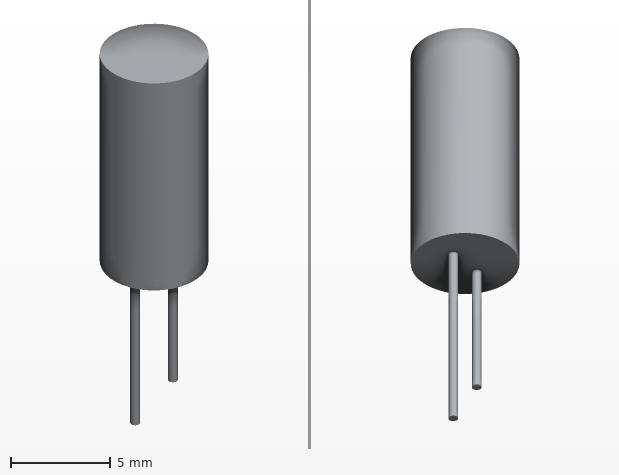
import cadquery as cq

TOTAL_HEIGHT = 22.5
CAN_DIAMETER = 5.5
CAN_HEIGHT = 12.5
LEAD_DIAMETER = 0.5
LEAD_SPACING = 2.0
SHORT_LEAD_LENGTH = 7.0

LONG_LEAD_LENGTH = TOTAL_HEIGHT - CAN_HEIGHT


def make_can():
    """Cylindrical can standing on the plane Z = 0."""
    return cq.Workplane("XY").circle(CAN_DIAMETER / 2).extrude(CAN_HEIGHT)


def make_lead(x, length):
    """Round lead hanging down from the flat bottom of the can."""
    return cq.Workplane("XY").center(x, 0).circle(LEAD_DIAMETER / 2).extrude(-length)


can = make_can()

lead_layout = [(-1, LONG_LEAD_LENGTH), (1, SHORT_LEAD_LENGTH)]
leads = []
for side, length in lead_layout:
    lead = make_lead(side * LEAD_SPACING / 2, length)
    leads.append(lead.val())

result = cq.Compound.makeCompound([can.val(), *leads])